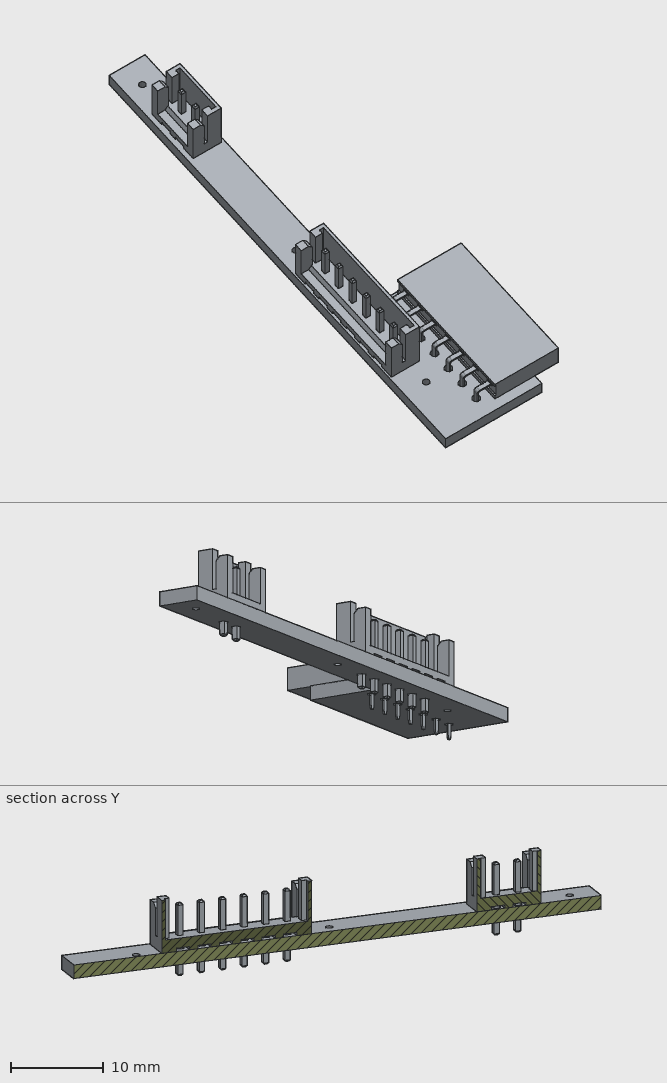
import cadquery as cq


BOARD_LENGTH = 61.6
BOARD_THICKNESS = 1.6
STRIP_DEPTH = 4.8
TAB_DEPTH = 12.9
TAB_LENGTH = 19.35
MOUNT_HOLE_DIAMETER = 0.8
MOUNT_HOLES = [(3.15, 2.15), (31.2, 2.15), (54.1, 2.9)]

SIX_PIN_SPAN = 12.5
HEADER_PITCH = SIX_PIN_SPAN / 5
HEADER_DEPTH = 3.75
HEADER_HEIGHT = 6.05
HEADER_END_MARGIN = 2.5
HEADERS = {"two": (2, 10.8, 0.6), "six": (6, 42.55, 0.25)}
SIDE_WALL = 1.05
BACK_WALL = 0.4
CORNER_WALL = 0.5
CORNER_DEPTH = 0.9
FLOOR_HEIGHT = 1.5
SILL_HEIGHT = 1.05
SILL_DEPTH = 1.0
SLOPE_RUN = 0.4
POST_HEIGHT = 5.1
POST_DEPTH = 1.5
POST_CHAMFER = 0.5
SIDE_SLOT_WIDTH = 0.45
VENT_WIDTH = 1.5
VENT_HEIGHT = 0.3

PIN_WIDTH = 0.6
PIN_TOP = 5.1
PIN_BOTTOM = -3.15
PIN_FROM_BACK = 1.6
PIN_TAPER = 0.2
PIN_TIP_WIDTH = 0.3
PIN_HOLE_DIAMETER = 1.0

SOCKET_COUNT = 7
SOCKET_LENGTH = 17.8
SOCKET_PITCH = SOCKET_LENGTH / SOCKET_COUNT
SOCKET_CENTER_X = 51.4
SOCKET_FRONT = 7.5
SOCKET_BACK = 16.0
SOCKET_HEIGHT = 2.5
FACE_RECESS = 0.2
UPPER_LIP = 0.4
LOWER_LIP = 0.55
LEAD_WIDTH = 0.585
LEAD_THICKNESS = 0.2
LEAD_TOP = 1.5
LEAD_BOTTOM = -3.25
LEAD_FRONT = 5.85
LEAD_BEND_RADIUS = 0.4
LEAD_TAPER = 0.45
LEAD_TIP_WIDTH = 0.3
LEAD_SLOT_WIDTH = 0.9
LEAD_SLOT_DEPTH = 0.3
LEAD_HOLE_DIAMETER = 0.9


def row(count, pitch, center):
    """X places of an evenly pitched row about a centre."""
    return [center + (i - (count - 1) / 2) * pitch for i in range(count)]


def box(x0, x1, y0, y1, z0, z1):
    return cq.Workplane("XY").box(x1 - x0, y1 - y0, z1 - z0, centered=False).translate((x0, y0, z0))


def side_profile(points, x0, x1):
    """Extrude a closed (Y, Z) outline from x0 to x1."""
    return cq.Workplane("YZ", origin=(x0, 0, 0)).polyline(points).close().extrude(x1 - x0)


def drill(board, points, diameter):
    holes = cq.Workplane("XY").pushPoints(points).circle(diameter / 2).extrude(-BOARD_THICKNESS)
    return board.cut(holes)


def header_pin_places(count, center_x, front_y):
    pin_y = front_y + HEADER_DEPTH - PIN_FROM_BACK
    return [(x, pin_y) for x in row(count, HEADER_PITCH, center_x)]


def make_board():
    tab_x = BOARD_LENGTH - TAB_LENGTH
    strip = box(0, BOARD_LENGTH, 0, STRIP_DEPTH, -BOARD_THICKNESS, 0)
    board = strip.union(box(tab_x, BOARD_LENGTH, 0, TAB_DEPTH, -BOARD_THICKNESS, 0))
    board = drill(board, MOUNT_HOLES, MOUNT_HOLE_DIAMETER)
    for header in HEADERS.values():
        board = drill(board, header_pin_places(*header), PIN_HOLE_DIAMETER)
    lead_y = LEAD_FRONT + LEAD_THICKNESS / 2
    lead_holes = [(x, lead_y) for x in row(SOCKET_COUNT, SOCKET_PITCH, SOCKET_CENTER_X)]
    return drill(board, lead_holes, LEAD_HOLE_DIAMETER)


def make_header_pin(x, y):
    """Square pin that tapers at both ends."""
    shaft_bottom = PIN_BOTTOM + PIN_TAPER
    shaft_top = PIN_TOP - PIN_TAPER
    shaft = cq.Workplane("XY", origin=(x, y, shaft_bottom)).rect(PIN_WIDTH, PIN_WIDTH)
    pin = shaft.extrude(shaft_top - shaft_bottom)
    for base_z, taper in ((shaft_top, PIN_TAPER), (shaft_bottom, -PIN_TAPER)):
        tip = cq.Workplane("XY", origin=(x, y, base_z)).rect(PIN_WIDTH, PIN_WIDTH)
        tip = tip.workplane(offset=taper).rect(PIN_TIP_WIDTH, PIN_TIP_WIDTH).loft()
        pin = pin.union(tip)
    return pin


def make_header(count, center_x, front_y):
    half_length = (count - 1) * HEADER_PITCH / 2 + HEADER_END_MARGIN
    left = center_x - half_length
    right = center_x + half_length
    back_y = front_y + HEADER_DEPTH
    post_back = front_y + POST_DEPTH
    slot_back = post_back + SIDE_SLOT_WIDTH
    slope_foot = front_y + SILL_DEPTH

    outline = [
        (back_y, 0),
        (back_y, HEADER_HEIGHT),
        (slot_back, HEADER_HEIGHT),
        (slot_back, FLOOR_HEIGHT),
        (post_back, FLOOR_HEIGHT),
        (post_back, POST_HEIGHT - POST_CHAMFER),
        (post_back - POST_CHAMFER, POST_HEIGHT),
        (front_y, POST_HEIGHT),
        (front_y, 0),
    ]
    header = side_profile(outline, left, right)

    cavity = [
        (back_y - BACK_WALL, FLOOR_HEIGHT),
        (slope_foot + SLOPE_RUN, FLOOR_HEIGHT),
        (slope_foot, SILL_HEIGHT),
        (front_y, SILL_HEIGHT),
        (front_y, HEADER_HEIGHT),
        (back_y - BACK_WALL, HEADER_HEIGHT),
    ]
    header = header.cut(side_profile(cavity, left + SIDE_WALL, right - SIDE_WALL))
    header = header.cut(box(left + CORNER_WALL, right - CORNER_WALL, back_y - CORNER_DEPTH,
                            back_y - BACK_WALL, FLOOR_HEIGHT, HEADER_HEIGHT))

    for x, y in header_pin_places(count, center_x, front_y):
        header = header.cut(box(x - VENT_WIDTH / 2, x + VENT_WIDTH / 2, front_y, back_y, 0, VENT_HEIGHT))
        header = header.union(make_header_pin(x, y))
    return header


def make_lead(x):
    """Flat lead that leaves the socket, bends down and ends in a tapered tip."""
    rear = SOCKET_FRONT + FACE_RECESS + LEAD_SLOT_DEPTH
    arm = box(x - LEAD_WIDTH / 2, x + LEAD_WIDTH / 2, LEAD_FRONT, rear, LEAD_BOTTOM, LEAD_TOP)
    arm = arm.edges("|X and >Z and <Y").fillet(LEAD_BEND_RADIUS)
    inside = box(x - LEAD_WIDTH / 2, x + LEAD_WIDTH / 2, LEAD_FRONT + LEAD_THICKNESS, rear,
                 LEAD_BOTTOM, LEAD_TOP - LEAD_THICKNESS)
    inside = inside.edges("|X and >Z and <Y").fillet(LEAD_BEND_RADIUS - LEAD_THICKNESS)
    lead = arm.cut(inside)
    tip_chamfer = (LEAD_WIDTH - LEAD_TIP_WIDTH) / 2
    for side in (-1, 1):
        edge = x + side * LEAD_WIDTH / 2
        corner = cq.Workplane("XZ", origin=(0, LEAD_FRONT, 0)).polyline([
            (edge, LEAD_BOTTOM),
            (edge - side * tip_chamfer, LEAD_BOTTOM),
            (edge, LEAD_BOTTOM + LEAD_TAPER),
        ]).close().extrude(-LEAD_THICKNESS)
        lead = lead.cut(corner)
    return lead


def make_socket():
    left = SOCKET_CENTER_X - SOCKET_LENGTH / 2
    right = SOCKET_CENTER_X + SOCKET_LENGTH / 2
    recess_y = SOCKET_FRONT + FACE_RECESS
    socket = box(left, right, SOCKET_FRONT, SOCKET_BACK, 0, SOCKET_HEIGHT)
    socket = socket.cut(box(left, right, SOCKET_FRONT, recess_y, LOWER_LIP, SOCKET_HEIGHT - UPPER_LIP))
    for x in row(SOCKET_COUNT, SOCKET_PITCH, SOCKET_CENTER_X):
        socket = socket.cut(box(x - LEAD_SLOT_WIDTH / 2, x + LEAD_SLOT_WIDTH / 2, recess_y,
                                recess_y + LEAD_SLOT_DEPTH, LEAD_TOP - LEAD_THICKNESS, LEAD_TOP))
        socket = socket.union(make_lead(x))
    return socket


board = make_board()
two_pin_header = make_header(*HEADERS["two"])
six_pin_header = make_header(*HEADERS["six"])
socket = make_socket()

result = cq.Compound.makeCompound([
    board.val(),
    two_pin_header.val(),
    six_pin_header.val(),
    socket.val(),
])